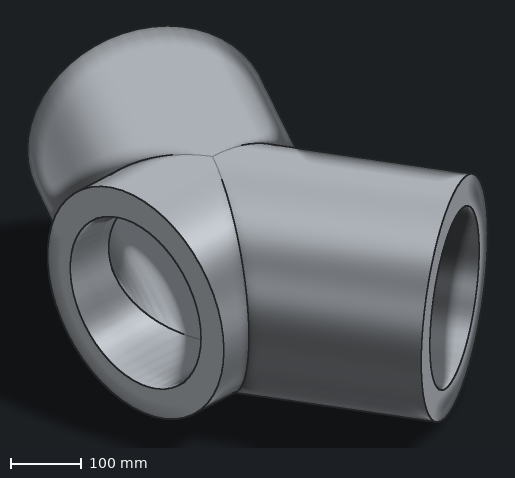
import cadquery as cq
import math

outer_diameter = 355.5
bore_diameter = 263.5
arm_length = outer_diameter
stub_length = 152.0

branches = [
    (30, arm_length),
    (150, arm_length),
    (270, stub_length),
]
mitre_angle = 360 / len(branches) / 2


def mitre_wedge(length):
    """Sector of space around +X that belongs to one pipe."""
    half_width = length * math.tan(math.radians(mitre_angle))
    return (
        cq.Workplane("XY")
        .polyline([(0, 0), (length, -half_width), (length, half_width)])
        .close()
        .extrude(outer_diameter, both=True)
    )


def mitred_pipe(angle, length):
    """Hollow pipe from the seams outward, turned to its direction."""
    pipe = (
        cq.Workplane("YZ")
        .circle(outer_diameter / 2)
        .circle(bore_diameter / 2)
        .extrude(length)
    )
    mitred = pipe.intersect(mitre_wedge(2 * length))
    return mitred.rotate((0, 0, 0), (0, 0, 1), angle)


result = cq.Workplane("XY")
for branch_angle, branch_length in branches:
    result = result.union(mitred_pipe(branch_angle, branch_length))